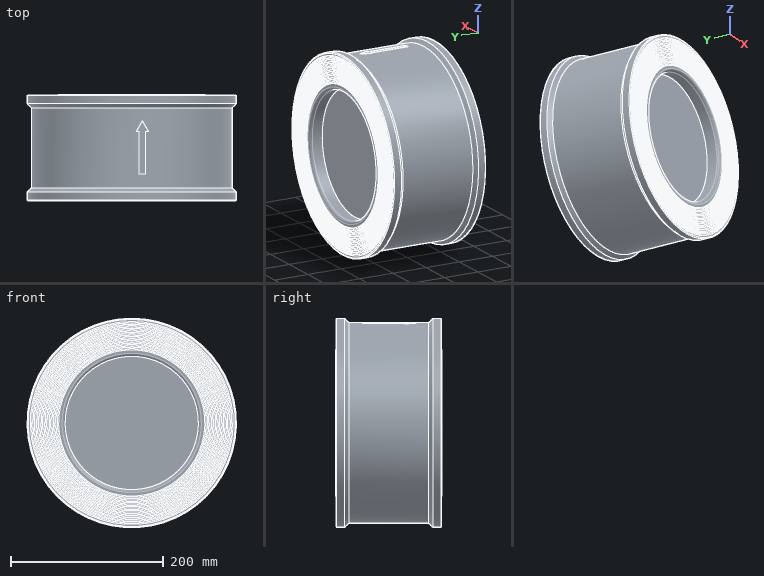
import cadquery as cq

LENGTH = 140.0
FLANGE_RADIUS = 137.5
BODY_RADIUS = 132.0

FLANGE_INNER_Y = 58.0
EDGE_CHAMFER_DEPTH = 1.0
EDGE_CHAMFER_WIDTH = 1.5

LAND_RADIUS = 96.0
LAND_HEIGHT = 0.5
GROOVE_COUNT = 11
GROOVE_PITCH = 3.55
GROOVE_WIDTH = 1.7
GROOVE_DEPTH = 0.5

BORE_RADIUS = 87.5
BORE_FILLET = 4.0
BORE_DEPTH = 19.0

ARROW_X = 14.0
ARROW_LENGTH = 70.0
ARROW_TAIL_Y = -34.5
ARROW_HEAD_LENGTH = 14.0
ARROW_HEAD_WIDTH = 16.0
ARROW_SHAFT_WIDTH = 8.5
ARROW_DEPTH = 0.3

HALF_LENGTH = LENGTH / 2
FACE_Y = HALF_LENGTH - LAND_HEIGHT
SHOULDER_Y = FLANGE_INNER_Y - (FLANGE_RADIUS - BODY_RADIUS)


def revolve_about_y(profile):
    """Revolve a profile drawn in the YZ plane, with the Y axis as its axis."""
    return profile.revolve(360, (0, 0, 0), (1, 0, 0))


def make_flange():
    """+Y end of the body: sloped shoulder, rim, chamfered edge and raised land."""
    profile = (
        cq.Workplane("YZ")
        .moveTo(SHOULDER_Y, 0)
        .lineTo(SHOULDER_Y, BODY_RADIUS)
        .lineTo(FLANGE_INNER_Y, FLANGE_RADIUS)
        .lineTo(FACE_Y - EDGE_CHAMFER_DEPTH, FLANGE_RADIUS)
        .lineTo(FACE_Y, FLANGE_RADIUS - EDGE_CHAMFER_WIDTH)
        .lineTo(FACE_Y, LAND_RADIUS)
        .lineTo(HALF_LENGTH, LAND_RADIUS)
        .lineTo(HALF_LENGTH, 0)
        .close()
    )
    return revolve_about_y(profile)


def make_bore():
    """Space of the +Y bore down to the disc, flared at the mouth by the rim's rounding."""
    bore_floor_y = HALF_LENGTH - BORE_DEPTH
    profile = (
        cq.Workplane("YZ")
        .moveTo(bore_floor_y, 0)
        .lineTo(bore_floor_y, BORE_RADIUS)
        .lineTo(HALF_LENGTH - BORE_FILLET, BORE_RADIUS)
        .radiusArc((HALF_LENGTH, BORE_RADIUS + BORE_FILLET), -BORE_FILLET)
        .lineTo(HALF_LENGTH, 0)
        .close()
    )
    return revolve_about_y(profile)


def cut_grooves(flange):
    """Concentric square-bottomed grooves; the first one starts at the foot of the raised land."""
    for index in range(GROOVE_COUNT):
        inner_radius = LAND_RADIUS + index * GROOVE_PITCH
        section = (
            cq.Workplane("YZ")
            .moveTo(FACE_Y - GROOVE_DEPTH, inner_radius)
            .rect(GROOVE_DEPTH, GROOVE_WIDTH, centered=False)
        )
        flange = flange.cut(revolve_about_y(section))
    return flange


def make_arrow_cutter():
    """Cutter for the flow arrow, with a floor that follows the body's curvature."""
    tip_y = ARROW_TAIL_Y + ARROW_LENGTH
    head_y = tip_y - ARROW_HEAD_LENGTH
    half_shaft = ARROW_SHAFT_WIDTH / 2
    half_head = ARROW_HEAD_WIDTH / 2
    prism = (
        cq.Workplane("XY")
        .moveTo(ARROW_X - half_shaft, ARROW_TAIL_Y)
        .lineTo(ARROW_X + half_shaft, ARROW_TAIL_Y)
        .lineTo(ARROW_X + half_shaft, head_y)
        .lineTo(ARROW_X + half_head, head_y)
        .lineTo(ARROW_X, tip_y)
        .lineTo(ARROW_X - half_head, head_y)
        .lineTo(ARROW_X - half_shaft, head_y)
        .close()
        .extrude(FLANGE_RADIUS)
    )
    shell = (
        cq.Workplane("XZ")
        .circle(FLANGE_RADIUS)
        .circle(BODY_RADIUS - ARROW_DEPTH)
        .extrude(ARROW_LENGTH, both=True)
    )
    return prism.intersect(shell)


result = cq.Workplane("XZ").circle(BODY_RADIUS).extrude(SHOULDER_Y, both=True)

flange = cut_grooves(make_flange())
result = result.union(flange).union(flange.mirror("XZ"))

bore = make_bore()
result = result.cut(bore).cut(bore.mirror("XZ"))

result = result.cut(make_arrow_cutter())